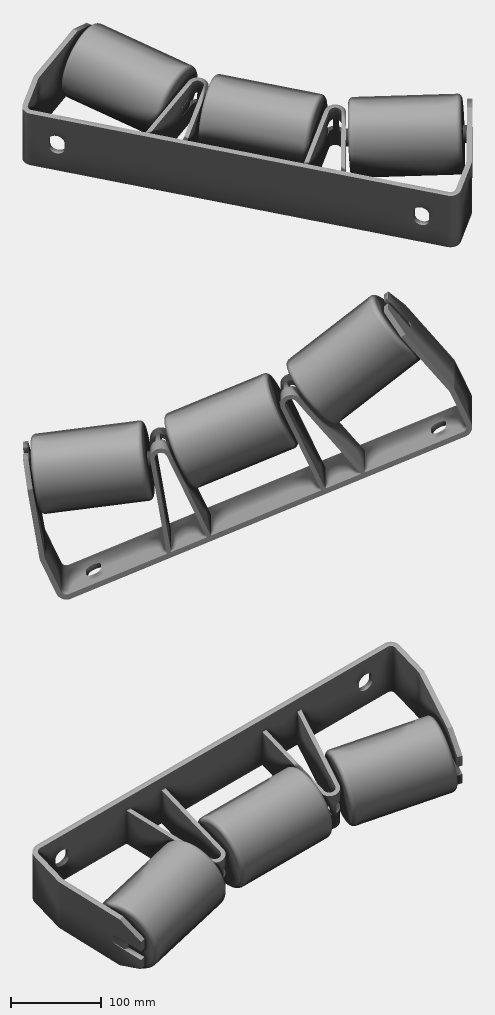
import cadquery as cq
import math


frame_length = 500.0
frame_height = 80.0
frame_sheet = 6.0
frame_outer_radius = 12.0
leg_bend_y = 56.7
leg_tip_y = 168.1
tip_cut_along = 30.0
tip_cut_height = 16.0
mount_slot_spacing = 416.0
mount_slot_width = 18.0
mount_slot_height = 27.0

divider_height = 58.0
divider_sheet = 5.0
divider_outer_radius = 12.0
divider_bend_y = 113.0

roller_diameter = 89.0
roller_length = 125.0
roller_edge_radius = 5.0
axle_diameter = 20.0
axle_length = 143.0
axle_flat_length = 6.0
axle_flats = 15.0

centre_axis_y = 99.0
centre_axis_z = -7.55
side_axis_y = 120.1
side_axis_z = -4.3
side_swing = 15.0
side_tilt = 3.0

swing_sin = math.sin(math.radians(side_swing))
swing_cos = math.cos(math.radians(side_swing))
half_bend_tan = math.tan(math.radians(side_swing / 2))
half_length = frame_length / 2
half_axle = axle_length / 2
divider_inner_radius = divider_outer_radius - divider_sheet
frame_inner_radius = frame_outer_radius - frame_sheet

divider_bend_x = half_axle + divider_inner_radius
divider_reach = divider_bend_x * swing_cos + divider_bend_y * swing_sin
side_reach = divider_reach + divider_inner_radius + half_axle
side_axis_x = (side_reach - side_axis_y * swing_sin) / swing_cos


def place(shape, side):
    """Move a shape modelled on the X axis to the centre roller (0) or an outer roller (-1 or 1)."""
    if side == 0:
        return shape.translate((0, centre_axis_y, centre_axis_z))
    tilted = shape.rotate((0, 0, 0), (0, 1, 0), -side * side_tilt)
    swung = tilted.rotate((0, 0, 0), (0, 0, 1), side * side_swing)
    return swung.translate((side * side_axis_x, side_axis_y, side_axis_z))


def x_cylinder(diameter, length):
    """Cylinder along X, centred on the origin."""
    return cq.Workplane("YZ", origin=(-length / 2, 0, 0)).circle(diameter / 2).extrude(length)


def make_axle():
    """Round axle with two flats at each end."""
    axle = x_cylinder(axle_diameter, axle_length)
    for end in (-1, 1):
        end_middle = end * (half_axle - axle_flat_length / 2)
        end_block = cq.Workplane().box(axle_flat_length, axle_diameter, axle_diameter)
        flats = cq.Workplane().box(axle_flat_length, axle_diameter, axle_flats)
        axle = axle.cut(end_block.cut(flats).translate((end_middle, 0, 0)))
    return axle


def make_roller():
    """Roller and axle as one solid along the X axis."""
    barrel = x_cylinder(roller_diameter, roller_length).edges().fillet(roller_edge_radius)
    return barrel.union(make_axle())


def axle_slot(end):
    """Cutter for the open slot that holds one axle end: flat sides, rounded bottom, open towards +Y."""
    slot_run = leg_tip_y
    slot_depth_x = 2 * axle_flat_length
    bottom = x_cylinder(axle_diameter, slot_depth_x)
    sides = cq.Workplane().box(slot_depth_x, slot_run, axle_flats)
    opening = sides.translate((0, slot_run / 2, 0))
    slot = bottom.intersect(sides).union(opening)
    return slot.translate((end * (half_axle - axle_flat_length / 2), 0, 0))


def make_frame():
    """Bent sheet with a flat back, two short straight legs and two slanted leg tips."""
    tip_run = (leg_tip_y - leg_bend_y) / swing_cos
    outer_tip = (half_length - tip_run * swing_sin, leg_tip_y)
    inner_tip = (outer_tip[0] - frame_sheet * swing_cos, outer_tip[1] - frame_sheet * swing_sin)
    inner_x = half_length - frame_sheet
    outer_bend = (half_length, leg_bend_y)
    inner_bend = (inner_x, leg_bend_y - frame_sheet * half_bend_tan)
    right_half = [
        (half_length, 0),
        outer_bend,
        outer_tip,
        inner_tip,
        inner_bend,
        (inner_x, frame_sheet),
    ]
    left_half = [(-x, y) for x, y in reversed(right_half)]
    sheet = cq.Workplane("XY").polyline(right_half + left_half).close()
    frame = sheet.extrude(frame_height / 2, both=True)
    for radius, corners in (
        (frame_outer_radius, [(half_length, 0), outer_bend]),
        (frame_inner_radius, [(inner_x, frame_sheet), inner_bend]),
    ):
        for x, y in corners:
            for side in (-1, 1):
                bend_edge = cq.selectors.NearestToPointSelector((side * x, y, 0))
                frame = frame.edges(bend_edge).fillet(radius)

    slot = (
        cq.Workplane("XZ")
        .pushPoints([(-mount_slot_spacing / 2, 0), (mount_slot_spacing / 2, 0)])
        .slot2D(mount_slot_height, mount_slot_width, 90)
        .extrude(-frame_sheet)
    )
    frame = frame.cut(slot)

    for side in (-1, 1):
        for level in (-1, 1):
            frame = frame.cut(tip_corner(outer_tip, side, level))
        frame = frame.cut(place(axle_slot(side), side))
    return frame


def tip_corner(outer_tip, side, level):
    """Triangular cutter for one corner of a slanted leg's tip."""
    edge_z = level * frame_height / 2
    corner = (
        cq.Workplane("YZ")
        .polyline([(0, edge_z), (-tip_cut_along, edge_z), (0, edge_z - level * tip_cut_height)])
        .close()
        .extrude(frame_sheet, both=True)
    )
    swung = corner.rotate((0, 0, 0), (0, 0, 1), side * side_swing)
    return swung.translate((side * outer_tip[0], outer_tip[1], 0))


def make_divider(side):
    """U-shaped sheet between two rollers: a straight leg, a rounded top and a slanted leg."""
    def arc_point(radius, degrees):
        angle = math.radians(degrees)
        return (divider_bend_x + radius * math.cos(angle), divider_bend_y + radius * math.sin(angle))

    def foot(radius):
        return ((divider_reach + radius - frame_sheet * swing_sin) / swing_cos, frame_sheet)

    outer = divider_outer_radius
    inner = divider_inner_radius
    divider = (
        cq.Workplane("XY")
        .moveTo(divider_bend_x - outer, frame_sheet)
        .lineTo(*arc_point(outer, 180))
        .threePointArc(arc_point(outer, 90), arc_point(outer, side_swing))
        .lineTo(*foot(outer))
        .lineTo(*foot(inner))
        .lineTo(*arc_point(inner, side_swing))
        .threePointArc(arc_point(inner, 90), arc_point(inner, 180))
        .lineTo(divider_bend_x - inner, frame_sheet)
        .close()
        .extrude(divider_height)
        .translate((0, 0, -frame_height / 2))
    )
    if side < 0:
        divider = divider.mirror("YZ")
    divider = divider.cut(place(axle_slot(side), 0))
    return divider.cut(place(axle_slot(-side), side))


frame = make_frame()
dividers = [make_divider(side) for side in (-1, 1)]
rollers = [place(make_roller(), side) for side in (-1, 0, 1)]

result = cq.Compound.makeCompound([body.val() for body in [frame, *dividers, *rollers]])